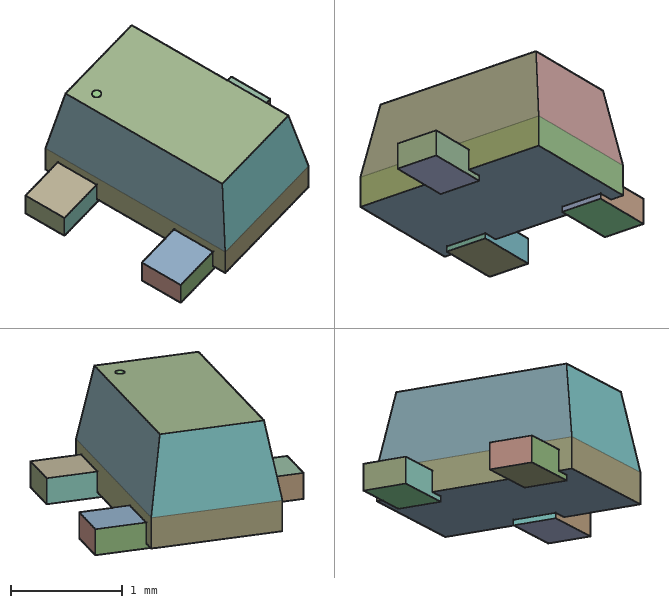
import cadquery as cq

total_width = 2.009
total_depth = 2.21
total_height = 1.09

housing_depth = 1.246
standoff = 0.05
base_height = 0.3
top_inset = 0.128
taper_height = total_height - standoff - base_height

lead_width = 0.435
lead_height = 0.252
lead_length = 0.635
lead_offset = 0.65
lead_center_y = (total_depth - lead_length) / 2
lead_positions = [
    (-lead_offset, -lead_center_y),
    (lead_offset, -lead_center_y),
    (0, lead_center_y),
]

marker_diameter = 0.085
marker_thickness = 0.022
marker_x = -lead_offset
marker_y = -0.332


def make_lead(x, y):
    """Rectangular lead standing on Z = 0."""
    return (
        cq.Workplane("XY")
        .box(lead_width, lead_length, lead_height, centered=(True, True, False))
        .translate((x, y, 0))
    )


def make_marker():
    """Disc whose upper face is level with the top of the housing."""
    return (
        cq.Workplane("XY", origin=(marker_x, marker_y, total_height - marker_thickness))
        .circle(marker_diameter / 2)
        .extrude(marker_thickness)
    )


def make_housing(inserts):
    """Straight base and tapered upper part, with a fitting recess for each insert."""
    base = (
        cq.Workplane("XY", origin=(0, 0, standoff))
        .rect(total_width, housing_depth)
        .extrude(base_height)
    )
    upper = (
        cq.Workplane("XY", origin=(0, 0, standoff + base_height))
        .rect(total_width, housing_depth)
        .workplane(offset=taper_height)
        .rect(total_width - 2 * top_inset, housing_depth - 2 * top_inset)
        .loft(ruled=True)
    )
    housing = base.union(upper)
    for insert in inserts:
        housing = housing.cut(insert)
    return housing


leads = [make_lead(x, y) for x, y in lead_positions]
marker = make_marker()
housing = make_housing([*leads, marker])

result = cq.Compound.makeCompound([housing.val(), *[lead.val() for lead in leads], marker.val()])